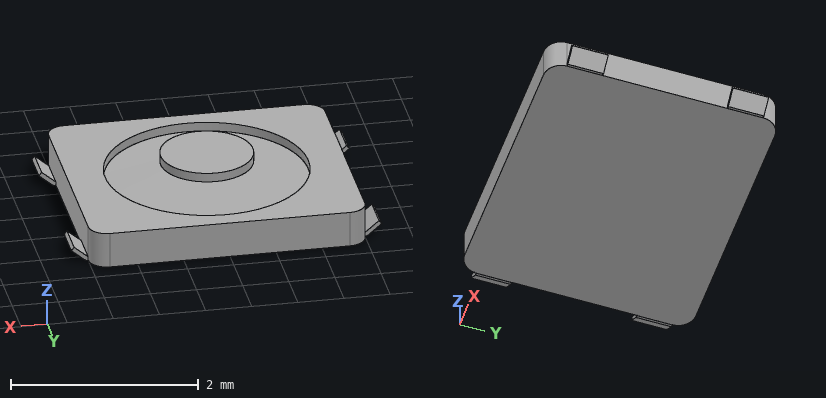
import cadquery as cq
import math

housing_length = 3.0
housing_width = 2.6
housing_height = 0.4
corner_radius = 0.2

dome_diameter = 2.2
recess_depth = 0.1
dome_height = 0.2
recess_floor = housing_height - recess_depth
dome_top = recess_floor + dome_height

button_diameter = 1.0
overall_height = 0.6
button_height = overall_height - dome_top

overall_length = 3.37
terminal_width = 0.4
terminal_thickness = 0.05
terminal_slope = 40.0
terminal_outer_edge = housing_width / 2 - corner_radius
terminal_center_y = terminal_outer_edge - terminal_width / 2
terminal_foot = 0.027


def make_housing():
    block = (
        cq.Workplane("XY")
        .box(housing_length, housing_width, housing_height, centered=(True, True, False))
        .edges("|Z")
        .fillet(corner_radius)
    )
    return block.faces(">Z").workplane().hole(dome_diameter, recess_depth)


def make_dome():
    base_radius = dome_diameter / 2
    top_radius = button_diameter / 2
    return cq.Workplane("XY").add(
        cq.Solid.makeCone(base_radius, top_radius, dome_height, pnt=cq.Vector(0, 0, recess_floor))
    )


def make_button():
    return cq.Workplane("XY", origin=(0, 0, dome_top)).circle(button_diameter / 2).extrude(button_height)


def make_terminal(center_y):
    """Terminal on the +X end of the housing, centred on center_y."""
    slope = math.radians(terminal_slope)
    wall_x = housing_length / 2
    tip_x = overall_length / 2
    bend_x = wall_x + terminal_foot
    tip_z = (tip_x - bend_x) * math.tan(slope)
    upper_tip_x = tip_x - terminal_thickness * math.sin(slope)
    upper_tip_z = tip_z + terminal_thickness * math.cos(slope)
    upper_wall_z = upper_tip_z - (upper_tip_x - wall_x) * math.tan(slope)
    return (
        cq.Workplane("XZ", origin=(0, center_y, 0))
        .moveTo(wall_x, 0)
        .lineTo(bend_x, 0)
        .lineTo(tip_x, tip_z)
        .lineTo(upper_tip_x, upper_tip_z)
        .lineTo(wall_x, upper_wall_z)
        .close()
        .extrude(terminal_width / 2, both=True)
    )


housing = make_housing()
dome = make_dome()
button = make_button()

terminals = []
for center_y in (-terminal_center_y, terminal_center_y):
    terminal = make_terminal(center_y)
    terminals.append(terminal.val())
    terminals.append(terminal.mirror("YZ").val())

result = cq.Compound.makeCompound([housing.val(), dome.val(), button.val(), *terminals])